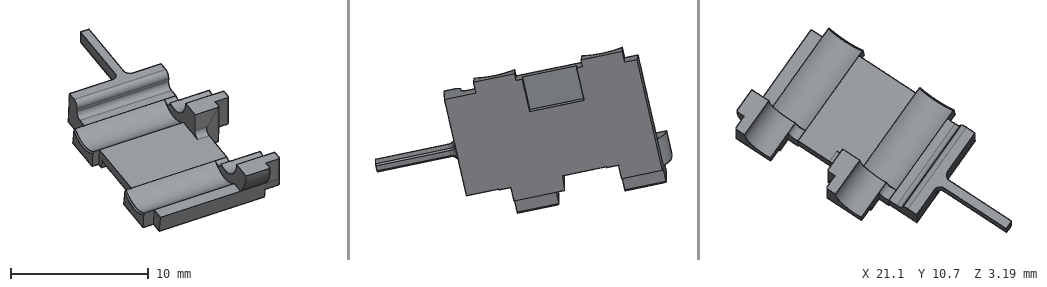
import cadquery as cq
import math

FULL_LENGTH = 21.1
FULL_WIDTH = 10.7
FULL_HEIGHT = 3.19
DRAFT = math.tan(math.radians(3))
HALF_DRAFT = math.tan(math.radians(1.5))

PLATE_TOP = 1.33
RAIL_TOP = 2.53
RAIL_LEFT = 5.97
RAIL_RIGHT = 7.22
RAIL_ROUND = 0.5
PLATE_RIGHT = 20.42
PLATE_FRONT = 0.85
PLATE_BACK = 8.35

HOOK_REACH = 3.16
SADDLE_PITCH = 8.0
RIGHT_SADDLE_X = FULL_LENGTH - HOOK_REACH
LEFT_SADDLE_X = RIGHT_SADDLE_X - SADDLE_PITCH
AXIS_Z = FULL_HEIGHT
GROOVE_RADIUS = 2.38
GROOVE_HALF_WIDTH = math.sqrt(GROOVE_RADIUS**2 - (AXIS_Z - PLATE_TOP)**2)
GROOVE_CHAMFER = 0.13

LIP_FRONT = 0.53
POCKET_LEFT = 11.92
POCKET_RIGHT = 15.93
POCKET_HEIGHT = 0.63
POCKET_DEPTH = 2.53

HOOK_BORE_RADIUS = 1.67
HOOK_TIP = 0.61
HOOK_FRONT = 7.4
HOOK_STEP_X = 2.5
HOOK_STEP_Y = 9.55
HOOK_FOOT_BACK = 9.47
HOOK_OVERHANG_Z = 0.72
HOOK_NECK = PLATE_BACK + PLATE_TOP * DRAFT
HOOK_CORNER = 0.13
LEDGE_DIP_X = 1.12
LEDGE_DIP = 0.13
LEFT_HOOK_FILLET = 0.5
RIGHT_HOOK_FOOT = PLATE_RIGHT - RIGHT_SADDLE_X

ARM_FRONT = 5.0
ARM_WIDTH = 0.7
ARM_BOTTOM = 1.4
ARM_CHAMFER = 0.13
ARM_FILLET = 0.5
ARM_EMBED = 0.21
EDGE_MARGIN = 0.1


def prism_xz(points, y_start, y_end):
    """Extrude an XZ polygon along Y."""
    sketch = cq.Workplane("XZ", origin=(0, y_start, 0)).polyline(points).close()
    return sketch.extrude(y_start - y_end)


def prism_yz(points, x_start, x_end):
    """Extrude a YZ polygon along X."""
    sketch = cq.Workplane("YZ", origin=(x_start, 0, 0)).polyline(points).close()
    return sketch.extrude(x_end - x_start)


def side_outline(front, back, height):
    """YZ outline whose front and back faces both lean backwards."""
    lean = height * DRAFT
    return [(front, 0), (back, 0), (back + lean, height), (front + lean, height)]


def make_plate():
    """Base plate with the rounded rail on its left end."""
    wall_foot = RAIL_RIGHT + (RAIL_TOP - PLATE_TOP) * DRAFT
    outline = [
        (RAIL_LEFT + RAIL_TOP * HALF_DRAFT, 0),
        (PLATE_RIGHT - PLATE_TOP * DRAFT, 0),
        (PLATE_RIGHT, PLATE_TOP),
        (wall_foot, PLATE_TOP),
        (RAIL_RIGHT, RAIL_TOP),
        (RAIL_LEFT, RAIL_TOP),
    ]
    body = prism_xz(outline, 0, FULL_WIDTH)
    for x, z in [(wall_foot, PLATE_TOP), (RAIL_RIGHT, RAIL_TOP)]:
        edge = cq.selectors.NearestToPointSelector((x, FULL_WIDTH / 2, z))
        body = body.edges(edge).fillet(RAIL_ROUND)
    sides = side_outline(PLATE_FRONT, PLATE_BACK, RAIL_TOP)
    return body.intersect(prism_yz(sides, 0, FULL_LENGTH))


def make_lip():
    """Plate front edge between the saddles."""
    sides = side_outline(LIP_FRONT, HOOK_FRONT, PLATE_TOP)
    return prism_yz(sides, LEFT_SADDLE_X, RIGHT_SADDLE_X)


def make_pocket():
    """Pocket under the lip, with a sloping ceiling, open at the front and bottom."""
    back = LIP_FRONT + POCKET_DEPTH
    back_height = POCKET_HEIGHT - POCKET_DEPTH * DRAFT
    ceiling = [(LIP_FRONT, 0), (back, 0), (back, back_height), (LIP_FRONT, POCKET_HEIGHT),
               (0, POCKET_HEIGHT), (0, 0)]
    walls = [(POCKET_LEFT - POCKET_HEIGHT * DRAFT, 0), (POCKET_RIGHT, 0),
             (POCKET_RIGHT, POCKET_HEIGHT), (POCKET_LEFT, POCKET_HEIGHT)]
    return prism_yz(ceiling, 0, FULL_LENGTH).intersect(prism_xz(walls, 0, back))


def make_tongue(x):
    """Block carrying one groove, standing out in front of the plate."""
    left = x - GROOVE_HALF_WIDTH
    right = x + GROOVE_HALF_WIDTH
    outline = [(left - PLATE_TOP * DRAFT, 0), (right, 0), (right, PLATE_TOP), (left, PLATE_TOP)]
    sides = side_outline(0, HOOK_FRONT, PLATE_TOP)
    return prism_xz(outline, 0, FULL_WIDTH).intersect(prism_yz(sides, 0, FULL_LENGTH))


def make_groove(x):
    """Round groove along Y, chamfered at its front end."""
    start = cq.Vector(x, 0, AXIS_Z)
    along_y = cq.Vector(0, 1, 0)
    chamfer_length = GROOVE_CHAMFER + PLATE_TOP / 2 * DRAFT
    mouth_radius = GROOVE_RADIUS + chamfer_length
    groove = cq.Solid.makeCylinder(GROOVE_RADIUS, FULL_WIDTH, start, along_y)
    mouth = cq.Solid.makeCone(mouth_radius, GROOVE_RADIUS, chamfer_length, start, along_y)
    return cq.Workplane(groove).union(cq.Workplane(mouth))


def hook_outline(x, is_right):
    """XZ outline of a hook and of the foot below it."""
    tip_z = AXIS_Z - math.sqrt(HOOK_BORE_RADIUS**2 - HOOK_TIP**2)
    bore_mid = HOOK_BORE_RADIUS * math.sqrt(0.5)
    ledge_left = x - GROOVE_HALF_WIDTH
    sketch = (
        cq.Workplane("XZ", origin=(0, HOOK_FRONT, 0))
        .moveTo(ledge_left, 0)
        .lineTo(ledge_left, PLATE_TOP)
        .threePointArc((x - LEDGE_DIP_X, PLATE_TOP - LEDGE_DIP), (x - HOOK_TIP, tip_z))
        .threePointArc((x + bore_mid, AXIS_Z - bore_mid), (x + HOOK_BORE_RADIUS, AXIS_Z))
        .lineTo(x + HOOK_REACH, FULL_HEIGHT)
    )
    drop = FULL_HEIGHT - PLATE_TOP
    if is_right:
        inset = HOOK_REACH - RIGHT_HOOK_FOOT
        radius = (inset**2 + drop**2) / (2 * inset)
        foot_x = x + RIGHT_HOOK_FOOT
        sketch = sketch.radiusArc((foot_x, PLATE_TOP), radius)
        return sketch.lineTo(foot_x - PLATE_TOP * DRAFT, 0).close()
    foot_x = x + HOOK_REACH + drop * DRAFT
    return sketch.lineTo(foot_x, PLATE_TOP).lineTo(foot_x, 0).close()


def make_hook(x, is_right):
    """Quarter-round hook with a stepped back and an overhanging rear end."""
    body = hook_outline(x, is_right).extrude(HOOK_FRONT - FULL_WIDTH)
    side = [
        (HOOK_FRONT, 0),
        (HOOK_FOOT_BACK, 0),
        (HOOK_FOOT_BACK + HOOK_OVERHANG_Z * DRAFT, HOOK_OVERHANG_Z),
        (FULL_WIDTH - HOOK_CORNER, HOOK_OVERHANG_Z),
        (FULL_WIDTH, HOOK_OVERHANG_Z + HOOK_CORNER),
        (FULL_WIDTH, FULL_HEIGHT),
        (HOOK_FRONT + FULL_HEIGHT * DRAFT, FULL_HEIGHT),
    ]
    front_right = x + HOOK_REACH
    if not is_right:
        front_right += FULL_HEIGHT * DRAFT
    footprint = (
        cq.Workplane("XY")
        .moveTo(x - GROOVE_HALF_WIDTH, HOOK_FRONT)
        .lineTo(x - GROOVE_HALF_WIDTH, HOOK_NECK)
        .lineTo(x - HOOK_TIP, HOOK_NECK)
        .lineTo(x - HOOK_TIP, FULL_WIDTH)
        .lineTo(x + HOOK_STEP_X - HOOK_CORNER, FULL_WIDTH)
        .radiusArc((x + HOOK_STEP_X, FULL_WIDTH - HOOK_CORNER), HOOK_CORNER)
        .lineTo(x + HOOK_STEP_X, HOOK_STEP_Y)
        .lineTo(x + HOOK_REACH - HOOK_CORNER, HOOK_STEP_Y)
        .radiusArc((x + HOOK_REACH, HOOK_STEP_Y - HOOK_CORNER), HOOK_CORNER)
        .lineTo(front_right, HOOK_FRONT)
        .close()
        .extrude(FULL_HEIGHT)
    )
    return body.intersect(prism_yz(side, 0, FULL_LENGTH)).intersect(footprint)


def make_left_hook_fillet():
    """Concave fillet between the left hook and the plate top."""
    drop = FULL_HEIGHT - PLATE_TOP - LEFT_HOOK_FILLET
    wall = LEFT_SADDLE_X + HOOK_REACH + drop * DRAFT
    sides = side_outline(HOOK_FRONT, PLATE_BACK, FULL_HEIGHT)
    fillet = (
        cq.Workplane("XZ", origin=(0, HOOK_FRONT, 0))
        .moveTo(wall + LEFT_HOOK_FILLET, PLATE_TOP)
        .radiusArc((wall, PLATE_TOP + LEFT_HOOK_FILLET), LEFT_HOOK_FILLET)
        .lineTo(wall - HOOK_CORNER, PLATE_TOP)
        .close()
        .extrude(HOOK_FRONT - FULL_WIDTH)
    )
    return fillet.intersect(prism_yz(sides, 0, FULL_LENGTH))


def add_arm(body):
    """Slim arm on the left, filleted into the rail."""
    back = ARM_FRONT + ARM_WIDTH
    lean = (RAIL_TOP - ARM_BOTTOM) * HALF_DRAFT
    section = [
        (ARM_FRONT + lean, ARM_BOTTOM),
        (back - lean, ARM_BOTTOM),
        (back, RAIL_TOP),
        (ARM_FRONT, RAIL_TOP),
    ]
    body = body.union(prism_yz(section, 0, RAIL_LEFT + ARM_EMBED))
    root = cq.selectors.BoxSelector(
        (RAIL_LEFT - EDGE_MARGIN, ARM_FRONT - EDGE_MARGIN, ARM_BOTTOM - EDGE_MARGIN),
        (RAIL_LEFT + EDGE_MARGIN, back + EDGE_MARGIN, RAIL_TOP - EDGE_MARGIN),
    )
    body = body.edges(root).fillet(ARM_FILLET)
    for y in (ARM_FRONT + lean, back - lean):
        lower_edge = cq.selectors.NearestToPointSelector((RAIL_LEFT / 2, y, ARM_BOTTOM))
        body = body.edges(lower_edge).chamfer(ARM_CHAMFER)
    return body


result = add_arm(make_plate()).union(make_lip()).cut(make_pocket())
for saddle_x in (LEFT_SADDLE_X, RIGHT_SADDLE_X):
    result = result.union(make_tongue(saddle_x))
    result = result.cut(make_groove(saddle_x))
    result = result.union(make_hook(saddle_x, is_right=saddle_x == RIGHT_SADDLE_X))
result = result.union(make_left_hook_fillet())